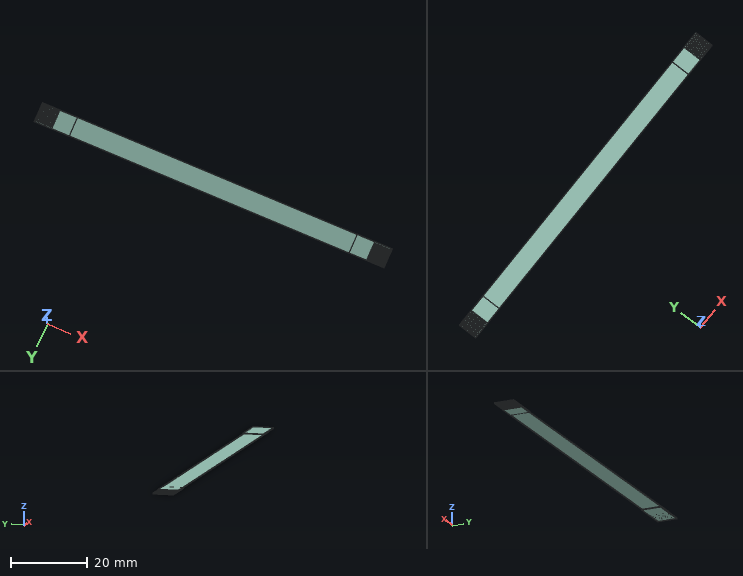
import cadquery as cq

length = 100.0
width = 5.5
thickness = 0.59

stiffener_length = 10.0
stiffener_thickness = 0.2
cable_thickness = thickness - 2 * stiffener_thickness
conductor_thickness = 0.05
film_thickness = (cable_thickness - conductor_thickness) / 2

pitch = 0.5
conductor_count = round(width / pitch) - 1
conductor_width = 0.3
bare_length = 5.0

cable_bottom = stiffener_thickness
conductor_bottom = cable_bottom + film_thickness
conductor_top = conductor_bottom + conductor_thickness
cable_top = cable_bottom + cable_thickness


def layer(x_start, x_end, z_bottom, z_top, strip_width=width, y_center=0.0):
    """Flat strip between two X positions and two heights."""
    return (
        cq.Workplane("XY", origin=((x_start + x_end) / 2, y_center, z_bottom))
        .rect(x_end - x_start, strip_width)
        .extrude(z_top - z_bottom)
    )


result = layer(bare_length, length - bare_length, cable_bottom, cable_top)

result = result.union(layer(0, bare_length, cable_bottom, conductor_bottom))
result = result.union(layer(length - bare_length, length, conductor_top, cable_top))

result = result.union(layer(0, stiffener_length, 0, cable_bottom))
result = result.union(layer(length - stiffener_length, length, cable_top, thickness))

for index in range(conductor_count):
    y_contact = (index - (conductor_count - 1) / 2) * pitch
    for x_start in (0, length - bare_length):
        contact = layer(
            x_start, x_start + bare_length, conductor_bottom, conductor_top, conductor_width, y_contact
        )
        result = result.union(contact)